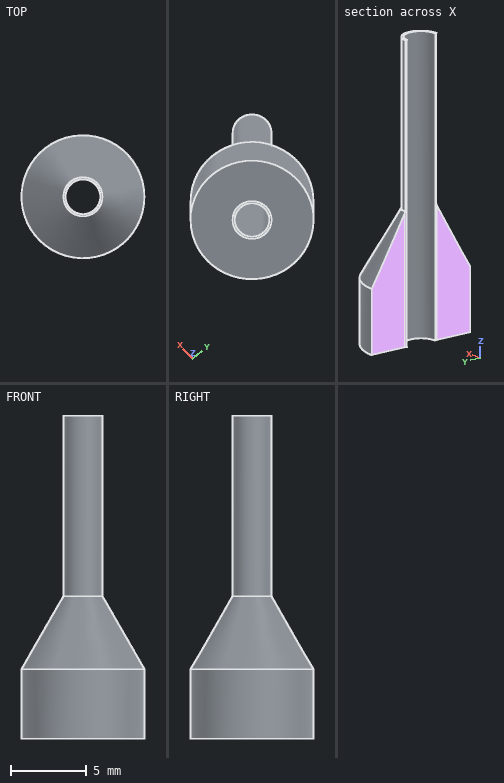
import cadquery as cq

total_height = 21.5
collar_diameter = 8.2
tube_length = 12.0
skirt_height = 4.65

tube_outer_diameter = 2.6
tube_inner_diameter = 2.3

collar_height = total_height - tube_length
collar_radius = collar_diameter / 2
tube_outer_radius = tube_outer_diameter / 2
tube_inner_radius = tube_inner_diameter / 2


def make_collar():
    """Solid of revolution: straight skirt, cone up to the tube, bore for the tube."""
    profile = (
        cq.Workplane("XZ")
        .moveTo(0, 0)
        .lineTo(collar_radius, 0)
        .lineTo(collar_radius, skirt_height)
        .lineTo(tube_outer_radius, collar_height)
        .lineTo(0, collar_height)
        .close()
    )
    blank = profile.revolve(360, (0, 0, 0), (0, 1, 0))
    bore = cq.Workplane("XY").circle(tube_outer_radius).extrude(collar_height)
    return blank.cut(bore)


def make_tube():
    """Thin open tube running the full height of the part."""
    return (
        cq.Workplane("XY")
        .circle(tube_outer_radius)
        .circle(tube_inner_radius)
        .extrude(total_height)
    )


collar = make_collar()
tube = make_tube()

result = cq.Compound.makeCompound([collar.val(), tube.val()])